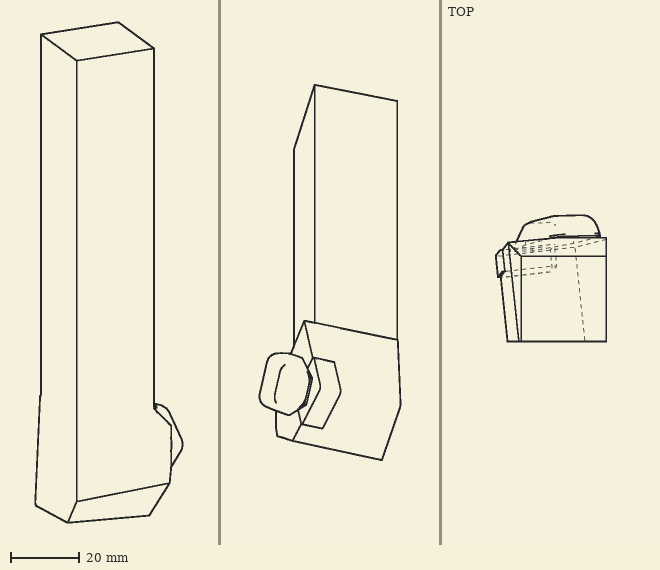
import cadquery as cq
import math

shank_width = 25.0
total_height = 151.4
shank_bottom = 39.2

seat_tilt = 6.0
approach_lean = 5.0
insert_corner = (-7.5, 25.0, -0.1)

nose_angle = 80.0
insert_circle = 15.9
insert_thickness = 6.4
insert_corner_radius = 1.2

head_back = 30.4
side_slope_angle = 49.0
back_slope_angle = 48.0
insert_overhang = 0.8
head_corner_radius = 0.9
toe_start_height = 14.0
toe_angle = 54.0
head_reach = 75.7

clamp_axis_angle = 30.0
clamp_half_width = 8.6
clamp_rear = 28.5
clamp_shoulder = 12.5
clamp_nose_taper = 18.0
clamp_nose_start = -1.8
clamp_nose_slope = 30.0
clamp_lip = 0.6
clamp_height = 6.8
clamp_draft = 10.0
clamp_rear_radius = 5.1
clamp_edge_radius = 3.2

tilt = math.tan(math.radians(seat_tilt))
lean = math.tan(math.radians(approach_lean))
seat_normal = (-tilt, 1, -tilt)
seat_up = (lean, tilt * (1 + lean), 1)
seat = cq.Plane(origin=insert_corner, xDir=seat_up, normal=seat_normal)


def polar(length, angle):
    return (length * math.cos(math.radians(angle)), length * math.sin(math.radians(angle)))


def make_insert():
    edge = insert_circle / math.sin(math.radians(nose_angle))
    end_x, end_y = polar(edge, nose_angle)
    outline = [(0, 0), (edge, 0), (edge + end_x, end_y), (end_x, end_y)]
    rhombus = cq.Workplane(seat).polyline(outline).close().extrude(-insert_thickness)
    return rhombus.edges(cq.selectors.ParallelDirSelector(seat.zDir)).fillet(insert_corner_radius)


def make_shank():
    height = total_height - shank_bottom
    bar = cq.Workplane("XY").box(shank_width, shank_width, height, centered=False)
    return bar.translate((0, 0, shank_bottom))


def make_head():
    setback = insert_overhang / math.sin(math.radians(nose_angle / 2))
    corner_x, corner_y = polar(setback, nose_angle / 2)
    end_x, end_y = polar(head_reach, nose_angle)
    wedge = (
        cq.Workplane(seat)
        .moveTo(corner_x, corner_y)
        .lineTo(corner_x + head_reach, corner_y)
        .lineTo(corner_x + end_x, corner_y + end_y)
        .close()
        .extrude(-head_reach)
    )
    wedge = wedge.edges(cq.selectors.ParallelDirSelector(seat.zDir)).edges("<Z").fillet(head_corner_radius)

    slope_run = shank_bottom / math.tan(math.radians(side_slope_angle))
    front_outline = [
        (0, shank_bottom),
        (-slope_run, 0),
        (-slope_run, -head_reach),
        (shank_width, -head_reach),
        (shank_width, shank_bottom),
    ]
    front = cq.Workplane("XZ").polyline(front_outline).close().extrude(-head_back)

    back_drop = (head_back - shank_width) * math.tan(math.radians(back_slope_angle))
    side_outline = [
        (0, shank_bottom),
        (shank_width, shank_bottom),
        (head_back, shank_bottom - back_drop),
        (head_back, -head_reach),
        (0, -head_reach),
    ]
    side = cq.Workplane("YZ").polyline(side_outline).close().extrude(2 * head_reach, both=True)
    return wedge.intersect(front).intersect(side).cut(make_toe_cut())


def make_toe_cut():
    reach_x, reach_z = polar(head_reach, toe_angle)
    corners = [
        cq.Vector(shank_width + reach_x, 0, toe_start_height + reach_z),
        cq.Vector(shank_width - reach_x, 0, toe_start_height - reach_z),
        cq.Vector(shank_width + reach_x, 0, toe_start_height - reach_z),
    ]
    outline = cq.Wire.makePolygon(corners, close=True)
    return cq.Workplane(cq.Solid.extrudeLinear(outline, [], cq.Vector(seat_normal) * head_reach))


def make_clamp():
    nose_length = clamp_shoulder - clamp_nose_start
    nose_half_width = clamp_half_width - nose_length * math.tan(math.radians(clamp_nose_taper))
    outline = [
        (clamp_nose_start, -nose_half_width),
        (clamp_shoulder, -clamp_half_width),
        (clamp_rear, -clamp_half_width),
        (clamp_rear, clamp_half_width),
        (clamp_shoulder, clamp_half_width),
        (clamp_nose_start, nose_half_width),
    ]
    lip = cq.Workplane("XY").polyline(outline).close().extrude(clamp_lip)
    lip = lip.edges("|Z").edges(">X").fillet(clamp_edge_radius)

    block_height = clamp_height - clamp_lip
    block = cq.Workplane("XY").polyline(outline).close().extrude(block_height, taper=clamp_draft)
    block = block.faces(">Z").edges(">X").fillet(clamp_rear_radius)

    slope_run = block_height / math.tan(math.radians(clamp_nose_slope))
    slope = (
        cq.Workplane("XZ")
        .moveTo(clamp_nose_start, 0)
        .lineTo(clamp_nose_start + slope_run, block_height)
        .lineTo(clamp_rear, block_height)
        .lineTo(clamp_rear, 0)
        .close()
        .extrude(clamp_rear, both=True)
    )
    block = block.intersect(slope)

    block = block.faces(">Z or <X or >X").edges("not |Y").fillet(clamp_edge_radius)
    clamp = lip.union(block.translate((0, 0, clamp_lip)))

    centre = insert_circle / 2 / math.sin(math.radians(nose_angle / 2))
    place = cq.Plane(seat.toWorldCoords(polar(centre, nose_angle / 2)), seat.xDir, seat.zDir)
    return cq.Workplane(clamp.val().moved(cq.Location(place.rotated((0, 0, clamp_axis_angle)))))


insert = make_insert()
holder = make_shank().union(make_head()).union(make_clamp()).cut(insert)

result = cq.Compound.makeCompound([holder.val(), insert.val()])